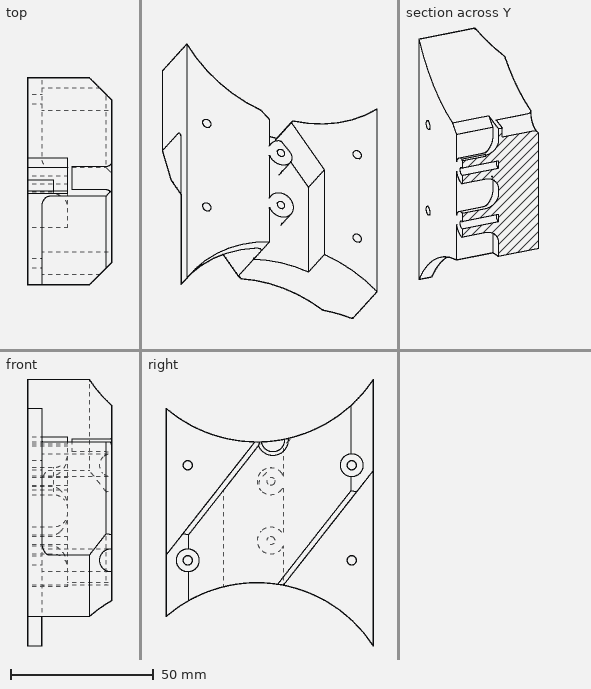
import cadquery as cq
import math

THICKNESS = 29.5
WIDTH = 72.73
HEIGHT = 93.59
SCALLOP_AXIS_Y = -4.5
UPPER_SCALLOP_RADIUS = 49.0
LOWER_SCALLOP_RADIUS = 48.6
SIDE_CHAMFER = 7.9

PLATE_THICKNESS = 5.0
RAMP_SLOPE = math.radians(51.9)
RAMP_FOOT_Z = -14.87
RAMP_FILLET = 2.8
RIM_BEVEL_X = 2.0
RIM_BEVEL_DEPTH = 1.8

SCREW_Y = 28.75
SCREW_Z = 16.67
SCREW_DIAMETER = 3.2
SCREW_HEAD_DIAMETER = 8.02

CAVITY_DEPTH = 14.0
CAVITY_LEFT_Y = 4.75
CAVITY_RIGHT_Y = -16.2
CAVITY_KNEE_Z = 7.9
LEFT_MOUTH_Z = 23.5
LEFT_MOUTH_SLOPE = math.radians(41.5)
RIGHT_MOUTH_Z = 24.1
RIGHT_MOUTH_SLOPE = math.radians(45.0)

POST_Y = 0.4
UPPER_POST_Z = 11.05
LOWER_POST_Z = -9.75
POST_DIAMETER = 9.5
POST_FILLET = 5.0
SHAFT_LENGTH = CAVITY_DEPTH - POST_FILLET
POST_HOLE_DIAMETER = 2.8
POST_FLAT_ANGLE = 47.0
POST_FLAT_OFFSET = 3.24
POST_FLAT_FILLET = 3.3

GROOVE_DIAMETER = 8.21
GROOVE_Y = 1.1
GROOVE_Z = 25.5
GROOVE_END_WALL = 1.5
GROOVE_FLARE_LENGTH = 2.0
GROOVE_FLARE_GROWTH = 1.3

REACH = 200.0


def x_cylinder(diameter, y, z, x_start, length):
    """Cylinder along +X."""
    return cq.Workplane("YZ", origin=(x_start, y, z)).circle(diameter / 2).extrude(length)


def make_block():
    """Block with chamfered side edges and a round scallop above and below."""
    block = cq.Workplane("XY").box(THICKNESS, WIDTH, HEIGHT, centered=(False, True, True))
    block = block.edges("|Z and >X").chamfer(SIDE_CHAMFER)

    for side, radius in ((1, UPPER_SCALLOP_RADIUS), (-1, LOWER_SCALLOP_RADIUS)):
        axis_height = HEIGHT / 2 + math.sqrt(radius**2 - (WIDTH / 2 - SCALLOP_AXIS_Y) ** 2)
        block = block.cut(x_cylinder(2 * radius, SCALLOP_AXIS_Y, side * axis_height, 0, THICKNESS))
    return block


def make_ramp_pocket():
    """Pocket behind the mounting plate on the -Y side, bounded by a sloping ramp."""
    section_plane = cq.Plane(
        origin=(0, -WIDTH / 2, RAMP_FOOT_Z),
        xDir=(1, 0, 0),
        normal=(0, -math.cos(RAMP_SLOPE), -math.sin(RAMP_SLOPE)),
    )
    return (
        cq.Workplane(section_plane)
        .moveTo(PLATE_THICKNESS, REACH)
        .lineTo(PLATE_THICKNESS, RAMP_FILLET)
        .radiusArc((PLATE_THICKNESS + RAMP_FILLET, 0), -RAMP_FILLET)
        .lineTo(THICKNESS - RIM_BEVEL_X, 0)
        .lineTo(THICKNESS, -RIM_BEVEL_DEPTH)
        .lineTo(THICKNESS, REACH)
        .close()
        .extrude(REACH, both=True)
    )


def make_cavity():
    """Central cavity whose -Y wall runs parallel to the nearby ramp above its knee."""
    lean_y = CAVITY_RIGHT_Y + (RIGHT_MOUTH_Z - CAVITY_KNEE_Z) / math.tan(RAMP_SLOPE)
    top = HEIGHT / 2
    left_rise = top - LEFT_MOUTH_Z
    right_rise = top - RIGHT_MOUTH_Z
    outline = [
        (CAVITY_LEFT_Y, -top),
        (CAVITY_LEFT_Y, LEFT_MOUTH_Z),
        (CAVITY_LEFT_Y + left_rise / math.tan(LEFT_MOUTH_SLOPE), top),
        (lean_y - right_rise / math.tan(RIGHT_MOUTH_SLOPE), top),
        (lean_y, RIGHT_MOUTH_Z),
        (CAVITY_RIGHT_Y, CAVITY_KNEE_Z),
        (CAVITY_RIGHT_Y, -top),
    ]
    return cq.Workplane("YZ").polyline(outline).close().extrude(CAVITY_DEPTH)


def make_post_base(z):
    """Flared foot of a post, filleting it into the cavity floor."""
    radius = POST_DIAMETER / 2
    return (
        cq.Workplane("XY", origin=(SHAFT_LENGTH, POST_Y, z))
        .lineTo(0, radius)
        .radiusArc((POST_FILLET, radius + POST_FILLET), -POST_FILLET)
        .lineTo(POST_FILLET, 0)
        .close()
        .revolve(360, (0, 0, 0), (1, 0, 0))
    )


def make_shaft(z):
    """Plain round shaft of a post, from the X = 0 face to the foot."""
    return x_cylinder(POST_DIAMETER, POST_Y, z, 0, SHAFT_LENGTH)


def make_flatted_shaft(z):
    """Shaft with a sloping flat towards -Y and +Z, blended into the round at its lower edge."""
    flat_cutter = (
        cq.Workplane("XY")
        .box(SHAFT_LENGTH, POST_DIAMETER, POST_DIAMETER, centered=(False, True, False))
        .translate((0, 0, POST_FLAT_OFFSET))
        .rotate((0, 0, 0), (1, 0, 0), POST_FLAT_ANGLE)
        .translate((0, POST_Y, z))
    )
    shaft = make_shaft(z).cut(flat_cutter)
    return shaft.edges("|X").edges("<Y").fillet(POST_FLAT_FILLET)


def make_groove():
    """Blind round groove from the +X face with a flared mouth."""
    radius = GROOVE_DIAMETER / 2
    end_x = CAVITY_DEPTH + GROOVE_END_WALL
    flare_radius = (GROOVE_FLARE_LENGTH**2 + GROOVE_FLARE_GROWTH**2) / (2 * GROOVE_FLARE_GROWTH)
    return (
        cq.Workplane("XY", origin=(0, GROOVE_Y, GROOVE_Z))
        .moveTo(end_x, 0)
        .lineTo(end_x, radius)
        .lineTo(THICKNESS - GROOVE_FLARE_LENGTH, radius)
        .radiusArc((THICKNESS, radius + GROOVE_FLARE_GROWTH), -flare_radius)
        .lineTo(THICKNESS, 0)
        .close()
        .revolve(360, (0, 0, 0), (1, 0, 0))
    )


block = make_block()

posts = make_flatted_shaft(UPPER_POST_Z).union(make_shaft(LOWER_POST_Z))
for z in (UPPER_POST_Z, LOWER_POST_Z):
    posts = posts.union(make_post_base(z))

cavity = make_cavity()
result = block.cut(cavity).union(posts.intersect(cavity))

for z in (UPPER_POST_Z, LOWER_POST_Z):
    result = result.cut(x_cylinder(POST_HOLE_DIAMETER, POST_Y, z, 0, CAVITY_DEPTH))

pocket = make_ramp_pocket()
result = result.cut(pocket)
result = result.cut(pocket.rotate((0, 0, 0), (1, 0, 0), 180))

result = result.cut(make_groove())

for y in (-SCREW_Y, SCREW_Y):
    for z in (-SCREW_Z, SCREW_Z):
        result = result.cut(x_cylinder(SCREW_DIAMETER, y, z, 0, THICKNESS))
        result = result.cut(x_cylinder(SCREW_HEAD_DIAMETER, y, z, PLATE_THICKNESS, THICKNESS))